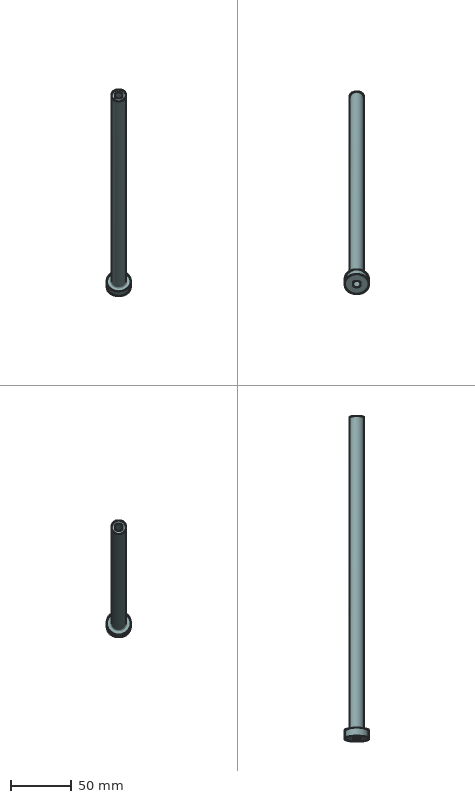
import cadquery as cq

total_length = 275.0
head_diameter = 20.0
head_height = 7.0
shaft_diameter = 12.0
bore_diameter = 6.5
neck_fillet = 0.5

head = cq.Workplane("XY").circle(head_diameter / 2).extrude(head_height)
shaft = cq.Workplane("XY").circle(shaft_diameter / 2).extrude(total_length)
sleeve = head.union(shaft)

neck_corner = cq.selectors.RadiusNthSelector(0)
sleeve = sleeve.faces("%PLANE").faces("<Z[1]").edges(neck_corner).fillet(neck_fillet)

bore = cq.Workplane("XY").circle(bore_diameter / 2).extrude(total_length)
result = sleeve.cut(bore)